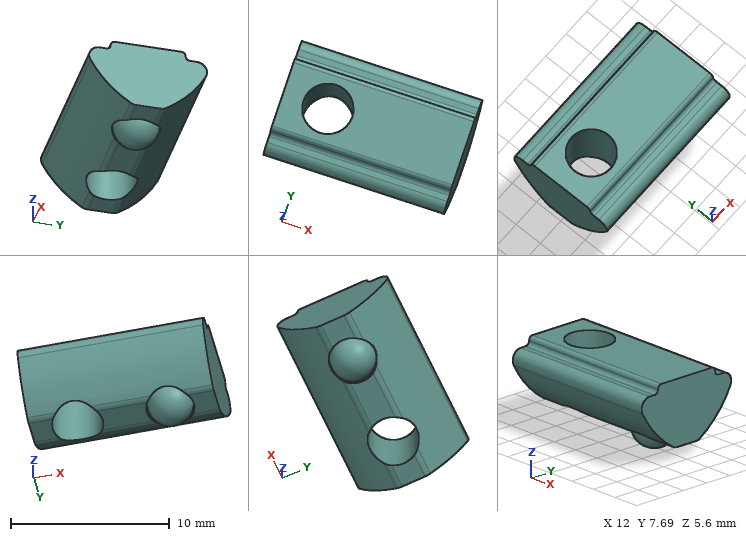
import cadquery as cq
import math

length = 12.0
body_height = 4.6
overall_width = 7.69
shoulder_drop = 0.6
neck_half_width = 2.445
neck_radius = shoulder_drop / 2
nose_radius = 0.7
flank_radius = 7.5
bottom_half_width = 1.0
bottom_edge_radius = 0.7

hole_diameter = 3.24
hole_x = -length / 4
ball_diameter = 3.0
ball_x = length / 4
ball_protrusion = 1.0
seat_diameter = 3.05
ball_centre_z = ball_diameter / 2 - ball_protrusion


def flank_centre(nose_y, nose_z):
    """Centre of the flank arc: tangent to the nose round and through the bottom corner."""
    to_nose = flank_radius - nose_radius
    dy = nose_y - bottom_half_width
    spacing = math.hypot(dy, nose_z)
    along = (flank_radius**2 - to_nose**2 + spacing**2) / (2 * spacing)
    across = math.sqrt(flank_radius**2 - along**2)
    unit_y = dy / spacing
    unit_z = nose_z / spacing
    centre_y = bottom_half_width + along * unit_y - across * unit_z
    centre_z = along * unit_z + across * unit_y
    return centre_y, centre_z


def point_on_circle(centre, radius, angle):
    return centre[0] + radius * math.cos(angle), centre[1] + radius * math.sin(angle)


def make_half_body():
    """The +Y half of the nut, extruded over the full length."""
    shoulder_z = body_height - shoulder_drop
    nose = (overall_width / 2 - nose_radius, shoulder_z - nose_radius)
    flank = flank_centre(*nose)

    tangent_angle = math.atan2(nose[1] - flank[1], nose[0] - flank[0])
    bottom_angle = math.atan2(-flank[1], bottom_half_width - flank[0])
    flank_start = point_on_circle(nose, nose_radius, tangent_angle)
    flank_middle = point_on_circle(flank, flank_radius, (tangent_angle + bottom_angle) / 2)
    nose_middle = point_on_circle(nose, nose_radius, (math.pi / 2 + tangent_angle) / 2)

    neck_middle = (neck_half_width, body_height - neck_radius)
    top_edge = (neck_half_width - neck_radius, body_height)
    shoulder_start = (neck_half_width + neck_radius, shoulder_z)

    return (
        cq.Workplane("YZ", origin=(-length / 2, 0, 0))
        .moveTo(0, 0)
        .lineTo(0, body_height)
        .lineTo(*top_edge)
        .radiusArc(neck_middle, neck_radius)
        .radiusArc(shoulder_start, -neck_radius)
        .lineTo(nose[0], shoulder_z)
        .threePointArc(nose_middle, flank_start)
        .threePointArc(flank_middle, (bottom_half_width, 0))
        .close()
        .extrude(length)
    )


def make_body():
    half = make_half_body()
    body = half.union(half.mirror("XZ")).clean()
    return body.faces("<Z").edges("|X").fillet(bottom_edge_radius)


def make_hole():
    return cq.Workplane("XY").center(hole_x, 0).circle(hole_diameter / 2).extrude(body_height)


def make_ball_seat():
    """Shallow round seat, as deep as the ball centre, with a small clearance around the ball."""
    return cq.Workplane("XY").center(ball_x, 0).circle(seat_diameter / 2).extrude(ball_centre_z)


def make_ball():
    """Ball fixed in the seat and standing out of the underside."""
    return cq.Workplane("XY").sphere(ball_diameter / 2).translate((ball_x, 0, ball_centre_z))


result = make_body().cut(make_hole()).cut(make_ball_seat()).union(make_ball())